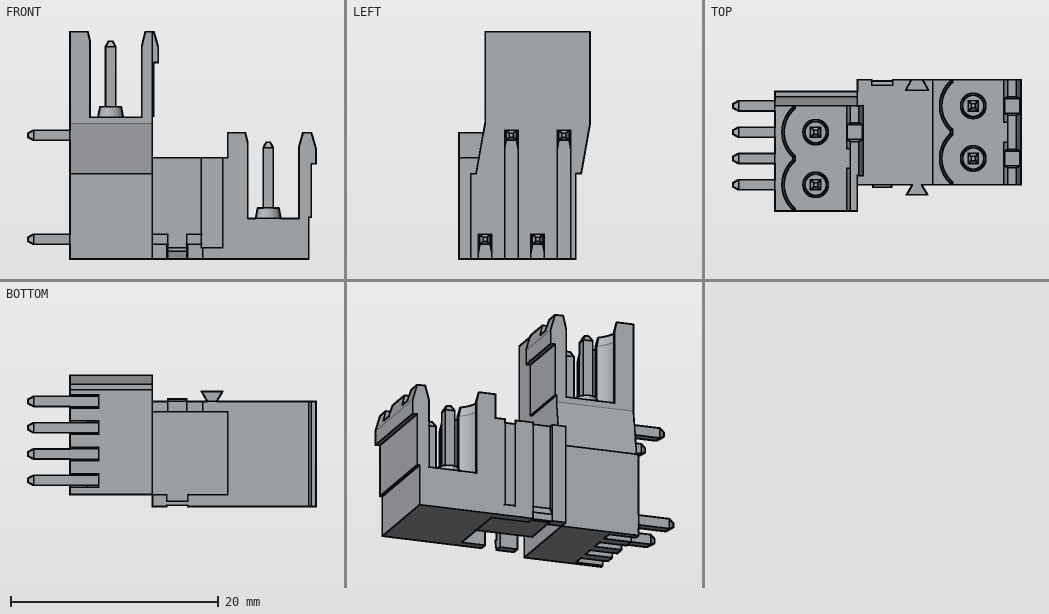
import cadquery as cq

header_width = 10.15
contact_pitch = header_width / 2
contact_rows = [contact_pitch / 2, contact_pitch * 3 / 2]
contact_x = 3.93
cavity_depth = 8.27

left_wall = 1.95
left_wall_lead_in = 0.22
lead_in_height = 0.95
scallop_radius = 3.03

right_wall_top_x = 7.27
right_wall_bevel_height = 1.4
panel_x = 8.1
panel_floor_gap = 0.08
hook_x = 8.55
hook_bevel_height = 1.53
hook_height = 3.0
keyway_width = 1.9
notch_top_width = 1.8
notch_floor_width = 1.4
notch_depth = 1.1

pin_size = 1.0
pin_tip_size = 0.4
pin_tip_length = 0.55
contact_tip_drop = 0.92
collar_height = 1.0
collar_base_radius = 1.22
collar_top_radius = 1.03

tower_height = 22.0
tower_right = 7.95
tower_right_wall_inner = 6.93
tower_front = -contact_pitch / 2
tower_rear = tower_front + header_width
tower_shift = 1.4
shoulder_top = 13.15
shoulder_bottom = 8.27
shoulder_run = 0.85
tower_latch_front = 0.9

pin_reach = 4.06
upper_pin_z = 11.97
lower_pin_z = 1.92
slot_width = 1.3
slot_depth = 1.67
flare_height = 0.84
flared_slot_depth = 2.78

header_left = 15.23
low_height = 12.22
platform_height = 9.8
low_right_wall_inner = 6.88
low_right = 7.85

dovetail_x = 13.73
dovetail_depth = 0.97
dovetail_wide = 2.05
dovetail_neck = 0.92
dovetail_bottom = 1.09
groove_clearance = 0.15
groove_extra_depth = 0.05

hollow_height = 1.42
front_wall = 1.0
tab_left = 9.47
tab_right = 11.28
tab_gap_height = 2.42
tab_gap_right = 12.8
clip_reach = 0.25
clip_top = 1.09
clip_edge = 0.75
pocket_left = 9.35
pocket_right = 11.35
pocket_depth = 0.53
ledge_reach = 0.42
ledge_top = 1.42
ledge_edge = 0.7


def block(x_range, y_range, z_range):
    """Axis-aligned box given by its lower and upper limits."""
    size = [high - low for low, high in (x_range, y_range, z_range)]
    corner = (x_range[0], y_range[0], z_range[0])
    return cq.Workplane("XY").box(*size, centered=False).translate(corner)


def prism_along_y(points, y_range):
    """Extrude an XZ outline between two Y values."""
    front, rear = y_range
    return cq.Workplane("XZ", origin=(0, front, 0)).polyline(points).close().extrude(front - rear)


def prism_along_x(points, x_range):
    """Extrude a YZ outline between two X values."""
    left, right = x_range
    return cq.Workplane("YZ", origin=(left, 0, 0)).polyline(points).close().extrude(right - left)


def pointed_pin(length):
    """Square pin along +Z that ends in a blunt pyramid."""
    shank_length = length - pin_tip_length
    shank = cq.Workplane("XY").rect(pin_size, pin_size).extrude(shank_length)
    tip = (
        cq.Workplane("XY", origin=(0, 0, shank_length))
        .rect(pin_size, pin_size)
        .workplane(offset=pin_tip_length)
        .rect(pin_tip_size, pin_tip_size)
        .loft()
    )
    return shank.union(tip)


def header_cavity(top, inner_wall):
    """Space between the header walls, with scallops and keyway."""
    floor = top - cavity_depth
    outline = [
        (left_wall, floor),
        (inner_wall, floor),
        (inner_wall, top - right_wall_bevel_height),
        (right_wall_top_x, top),
        (left_wall - left_wall_lead_in, top),
        (left_wall, top - lead_in_height),
    ]
    cavity = prism_along_y(outline, (0, header_width))
    top_radius = scallop_radius + left_wall_lead_in
    scallop_outline = [
        (0, floor),
        (scallop_radius, floor),
        (scallop_radius, top - lead_in_height),
        (top_radius, top),
        (0, top),
    ]
    scallop = cq.Workplane("XZ").polyline(scallop_outline).close().revolve(360, (0, 0), (0, 1))
    left_half = block((0, contact_x), (0, header_width), (floor, top))
    for row in contact_rows:
        cavity = cavity.union(scallop.translate((contact_x, row, 0)).intersect(left_half))
    keyway_y = (contact_pitch - keyway_width / 2, contact_pitch + keyway_width / 2)
    return cavity.union(block((contact_x, right_wall_top_x), keyway_y, (floor, top)))


def latch(top, outer_wall, y_range):
    """Panel on the right wall with a snap hook along its top."""
    outline = [
        (outer_wall, top),
        (panel_x, top),
        (hook_x, top - hook_bevel_height),
        (hook_x, top - hook_height),
        (panel_x, top - hook_height),
        (panel_x, top - cavity_depth + panel_floor_gap),
        (outer_wall, top - cavity_depth + panel_floor_gap),
    ]
    return prism_along_y(outline, y_range)


def latch_notch(top, row):
    """Tapered notch across the top of the right wall."""
    outline = [
        (row - notch_floor_width / 2, top - notch_depth),
        (row + notch_floor_width / 2, top - notch_depth),
        (row + notch_top_width / 2, top),
        (row - notch_top_width / 2, top),
    ]
    return prism_along_x(outline, (contact_x, hook_x))


def contact(top, row):
    """Upright contact standing in a tapered collar on the cavity floor."""
    floor = top - cavity_depth
    collar = (
        cq.Workplane("XY")
        .circle(collar_base_radius)
        .workplane(offset=collar_height)
        .circle(collar_top_radius)
        .loft()
    )
    pin = pointed_pin(cavity_depth - contact_tip_drop)
    return collar.union(pin).translate((contact_x, row, floor))


def finish_header(body, top, inner_wall, outer_wall, latch_range, notch_rows):
    """Turn the top of a plain block, whose corner is at X = Y = 0, into a header."""
    body = body.union(latch(top, outer_wall, latch_range))
    body = body.cut(header_cavity(top, inner_wall))
    for row in notch_rows:
        body = body.cut(latch_notch(top, row))
    for row in contact_rows:
        body = body.union(contact(top, row))
    return body


def horizontal_pin(row, height):
    """Pin that leaves the tower's left face toward -X."""
    pin = pointed_pin(contact_x + pin_reach).rotate((0, 0, 0), (0, 1, 0), -90)
    return pin.translate((contact_x, row, height))


def pin_slot(row, pin_z):
    """Slot from a pin's top down to the bottom, with a deeper part flaring out below the pin."""
    pin_top = pin_z + pin_size / 2
    pin_bottom = pin_z - pin_size / 2
    flare_bottom = pin_bottom - flare_height
    slot = block((0, slot_depth), (row - slot_width / 2, row + slot_width / 2), (0, pin_top))
    right_side = [
        (row + slot_width / 2, 0),
        (row + slot_width / 2, flare_bottom),
        (row + pin_size / 2, pin_bottom),
        (row + pin_size / 2, pin_top),
    ]
    left_side = [(2 * row - y, z) for y, z in reversed(right_side)]
    return slot.union(prism_along_x(right_side + left_side, (0, flared_slot_depth)))


def make_tower():
    outline = [
        (tower_front + tower_shift, 0),
        (tower_front + tower_shift, shoulder_bottom),
        (tower_front + shoulder_run, shoulder_bottom),
        (tower_front, shoulder_top),
        (tower_front, tower_height),
        (tower_rear, tower_height),
        (tower_rear, shoulder_top),
        (tower_rear + shoulder_run, shoulder_bottom),
        (tower_rear + tower_shift, shoulder_bottom),
        (tower_rear + tower_shift, 0),
    ]
    body = prism_along_x(outline, (0, tower_right)).translate((0, -tower_front, 0))
    latch_range = (tower_latch_front - tower_front, header_width)
    body = finish_header(
        body, tower_height, tower_right_wall_inner, tower_right, latch_range, contact_rows[1:]
    ).translate((0, tower_front, 0))
    for row in contact_rows:
        for pin_y, pin_z in ((row + tower_front, upper_pin_z), (row, lower_pin_z)):
            body = body.cut(pin_slot(pin_y, pin_z)).union(horizontal_pin(pin_y, pin_z))
    return body


def dovetail(base_y, depth, clearance, z_range):
    """Dovetail that widens toward -Y, starting from the plane Y = base_y."""
    neck = (dovetail_neck + clearance) / 2
    wide = (dovetail_wide + clearance) / 2
    bottom, top = z_range
    outline = [(-neck, 0), (-wide, -depth), (wide, -depth), (neck, 0)]
    prism = cq.Workplane("XY").polyline(outline).close().extrude(top - bottom)
    return prism.translate((dovetail_x, base_y, bottom))


def snap_clip():
    """Snap edge at the foot of the tab."""
    outline = [(0, 0), (0, clip_top), (-clip_reach, clip_top), (-clip_reach, clip_edge)]
    return prism_along_x(outline, (tab_left, tab_right))


def snap_ledge():
    """Bar with a sloped top across the foot of the snap pocket."""
    inner = header_width - pocket_depth
    outer = inner + ledge_reach
    outline = [(inner, 0), (inner, ledge_top), (outer, ledge_edge), (outer, 0)]
    return prism_along_x(outline, (pocket_left, pocket_right))


def make_low_block():
    full_width = (0, header_width)
    header = block((0, low_right), full_width, (0, low_height))
    header = finish_header(
        header, low_height, low_right_wall_inner, low_right, full_width, contact_rows
    ).translate((header_left, 0, 0))
    platform = block((tower_right, header_left), full_width, (0, platform_height))

    hollow_rear = tower_rear + tower_shift
    hollow = block((tower_right, header_left), (front_wall, hollow_rear), (0, hollow_height))
    platform = platform.cut(hollow)
    for gap in ((tower_right, tab_left), (tab_right, tab_gap_right)):
        platform = platform.cut(block(gap, (0, front_wall), (0, tab_gap_height)))

    pocket_x = (pocket_left, pocket_right)
    pocket_wall_y = header_width - pocket_depth
    platform = platform.cut(block(pocket_x, (pocket_wall_y, header_width), (0, platform_height)))
    platform = platform.cut(block(pocket_x, (hollow_rear, pocket_wall_y), (0, hollow_height)))
    platform = platform.union(snap_clip()).union(snap_ledge())

    body = platform.union(header)
    groove_depth = dovetail_depth + groove_extra_depth
    dovetail_z = (dovetail_bottom, platform_height)
    body = body.cut(dovetail(header_width, groove_depth, groove_clearance, dovetail_z))
    return body.union(dovetail(0, dovetail_depth, 0, dovetail_z))


result = make_tower().union(make_low_block())